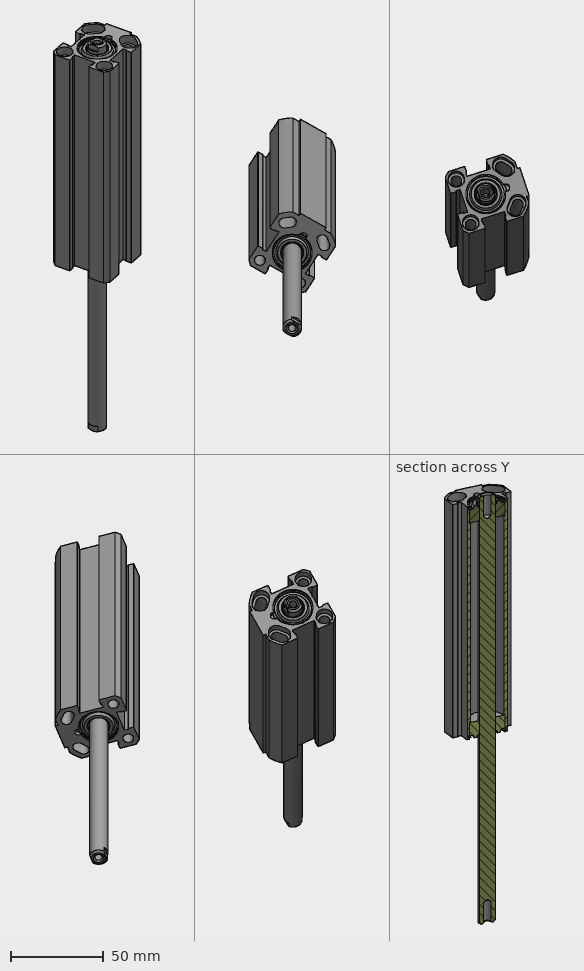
import cadquery as cq
import math

ROD_LENGTH = 253.0
HOUSING_BOTTOM = 110.8
HOUSING_TOP = 248.7
HOUSING_LENGTH = HOUSING_TOP - HOUSING_BOTTOM
HOUSING_MIDDLE = (HOUSING_TOP + HOUSING_BOTTOM) / 2

HALF_WIDTH = 18.0
SHOULDER_Y = 20.5
RIDGE_Y = 22.0
RIDGE_HALF_WIDTH = 8.0
CORNER_RADIUS = 23.8
LOWER_BEVEL = 2.5

GROOVE_FLOOR = 12.5
GROOVE_LIP = 14.7
GROOVE_MOUTH_WIDTH = 12.1
GROOVE_INNER_WIDTH = 13.2
LIP_BEVEL = 0.3
GROOVE_ANGLES = (0, 180, 270)

MOUNT_OFFSET = 12.6
MOUNT_DIAMETER = 5.8
MOUNT_SINK_DIAMETER = 8.9
MOUNT_SINK_DEPTH = 5.0
SLOT_END_X = 9.9
SLOT_END_Y = 15.0

BORE_DIAMETER = 20.0
RECESS_DIAMETER = 21.5
RING_GROOVE_DIAMETER = 22.8
RING_TOP_DEPTH = 1.0
RING_THICKNESS = 1.0
RECESS_DEPTH = 10.0
NOTCH_DIAMETER = 4.0
NOTCH_Y = 11.5
NOTCH_DEPTH = 2.5

ROD_DIAMETER = 10.0
ROD_CHAMFER = 1.3
ROD_CHAMFER_LENGTH = 1.0
FLAT_WIDTH = 8.0
FLAT_LENGTH_BOTTOM = 4.3
FLAT_LENGTH_TOP = 3.5
TAP_DIAMETER = 4.0
TAP_MOUTH_DIAMETER = 5.8
TAP_DEPTH = 12.6
TAP_TIP_ANGLE = 118

COLLAR_TOP_DIAMETER = 15.7
COLLAR_BASE_DIAMETER = 17.5
COLLAR_HEIGHT = 1.8
CAP_MOUTH_DIAMETER = 12.5
MOUTH_DEPTH = 0.8
LIP_DIAMETER = 11.5
LIP_DEPTH = 0.8


def cylinder(diameter, bottom, top):
    return cq.Workplane("XY").workplane(offset=bottom).circle(diameter / 2).extrude(top - bottom)


def at_both_ends(shape):
    """Return a shape at the top end and its mirror image at the bottom end."""
    return shape, shape.mirror("XY", (0, 0, HOUSING_MIDDLE))


def housing_block():
    """Return the plain housing with bevelled lower corners and arc-shaped upper corners."""
    corner_y = math.sqrt(CORNER_RADIUS**2 - HALF_WIDTH**2)
    corner_x = math.sqrt(CORNER_RADIUS**2 - SHOULDER_Y**2)
    middle_angle = (math.atan2(corner_y, HALF_WIDTH) + math.atan2(SHOULDER_Y, corner_x)) / 2
    arc_x = CORNER_RADIUS * math.cos(middle_angle)
    arc_y = CORNER_RADIUS * math.sin(middle_angle)
    bevel_end = HALF_WIDTH - LOWER_BEVEL
    return (
        cq.Workplane("XY").workplane(offset=HOUSING_BOTTOM)
        .moveTo(-bevel_end, -HALF_WIDTH)
        .lineTo(bevel_end, -HALF_WIDTH)
        .lineTo(HALF_WIDTH, -bevel_end)
        .lineTo(HALF_WIDTH, corner_y)
        .threePointArc((arc_x, arc_y), (corner_x, SHOULDER_Y))
        .lineTo(RIDGE_HALF_WIDTH, SHOULDER_Y)
        .lineTo(RIDGE_HALF_WIDTH, RIDGE_Y)
        .lineTo(-RIDGE_HALF_WIDTH, RIDGE_Y)
        .lineTo(-RIDGE_HALF_WIDTH, SHOULDER_Y)
        .lineTo(-corner_x, SHOULDER_Y)
        .threePointArc((-arc_x, arc_y), (-HALF_WIDTH, corner_y))
        .lineTo(-HALF_WIDTH, -bevel_end)
        .close()
        .extrude(HOUSING_LENGTH)
    )


def side_groove():
    half_mouth = GROOVE_MOUTH_WIDTH / 2
    half_inner = GROOVE_INNER_WIDTH / 2
    return (
        cq.Workplane("XY").workplane(offset=HOUSING_BOTTOM)
        .moveTo(GROOVE_FLOOR, -half_inner)
        .lineTo(GROOVE_LIP, -half_inner)
        .lineTo(GROOVE_LIP, -half_mouth)
        .lineTo(HALF_WIDTH - LIP_BEVEL, -half_mouth)
        .lineTo(HALF_WIDTH, -half_mouth - LIP_BEVEL)
        .lineTo(HALF_WIDTH, half_mouth + LIP_BEVEL)
        .lineTo(HALF_WIDTH - LIP_BEVEL, half_mouth)
        .lineTo(GROOVE_LIP, half_mouth)
        .lineTo(GROOVE_LIP, half_inner)
        .lineTo(GROOVE_FLOOR, half_inner)
        .close()
        .extrude(HOUSING_LENGTH)
    )


def upper_slot(side, diameter, depth):
    """Return the slot cutter next to the ridge; side is -1 or +1 along X."""
    run_x = SLOT_END_X - MOUNT_OFFSET
    run_y = SLOT_END_Y - MOUNT_OFFSET
    angle = math.degrees(math.atan2(run_y, side * run_x))
    centre = (side * (SLOT_END_X + MOUNT_OFFSET) / 2, (SLOT_END_Y + MOUNT_OFFSET) / 2)
    return (
        cq.Workplane("XY").workplane(offset=HOUSING_TOP)
        .center(*centre)
        .slot2D(math.hypot(run_x, run_y) + diameter, diameter, angle)
        .extrude(-depth)
    )


def lower_hole(side, diameter, depth):
    hole = cylinder(diameter, HOUSING_TOP - depth, HOUSING_TOP)
    return hole.translate((side * MOUNT_OFFSET, -MOUNT_OFFSET, 0))


def end_pocket():
    """Return the cap recess, ring groove and removal notch at the top end."""
    ring_top = HOUSING_TOP - RING_TOP_DEPTH
    notch = cylinder(NOTCH_DIAMETER, HOUSING_TOP - NOTCH_DEPTH, HOUSING_TOP).translate((0, NOTCH_Y, 0))
    recess = cylinder(RECESS_DIAMETER, HOUSING_TOP - RECESS_DEPTH, HOUSING_TOP)
    return recess.union(cylinder(RING_GROOVE_DIAMETER, ring_top - RING_THICKNESS, ring_top)).union(notch)


def make_housing():
    body = housing_block()
    for angle in GROOVE_ANGLES:
        body = body.cut(side_groove().rotate((0, 0, 0), (0, 0, 1), angle))
    for make_cutter in (upper_slot, lower_hole):
        for side in (-1, 1):
            body = body.cut(make_cutter(side, MOUNT_DIAMETER, HOUSING_LENGTH))
            body = body.cut(make_cutter(side, MOUNT_SINK_DIAMETER, MOUNT_SINK_DEPTH))
    body = body.cut(cylinder(BORE_DIAMETER, HOUSING_BOTTOM, HOUSING_TOP))
    for pocket in at_both_ends(end_pocket()):
        body = body.cut(pocket)
    return body


def make_cap():
    """Return the top end cap with its collar."""
    top = HOUSING_TOP - RING_TOP_DEPTH - RING_THICKNESS
    collar_top = top + COLLAR_HEIGHT
    mouth_floor = collar_top - MOUTH_DEPTH
    bore_top = mouth_floor - LIP_DEPTH
    return (
        cq.Workplane("XZ")
        .moveTo(ROD_DIAMETER / 2, HOUSING_TOP - RECESS_DEPTH)
        .lineTo(RECESS_DIAMETER / 2, HOUSING_TOP - RECESS_DEPTH)
        .lineTo(RECESS_DIAMETER / 2, top)
        .lineTo(COLLAR_BASE_DIAMETER / 2, top)
        .lineTo(COLLAR_TOP_DIAMETER / 2, collar_top)
        .lineTo(CAP_MOUTH_DIAMETER / 2, collar_top)
        .lineTo(CAP_MOUTH_DIAMETER / 2, mouth_floor)
        .lineTo(LIP_DIAMETER / 2, mouth_floor)
        .lineTo(LIP_DIAMETER / 2, bore_top)
        .lineTo(ROD_DIAMETER / 2, bore_top)
        .close()
        .revolve(360, (0, 0, 0), (0, 1, 0))
    )


def make_ring():
    """Return the retaining ring in the top groove."""
    ring_top = HOUSING_TOP - RING_TOP_DEPTH
    ring = cylinder(RING_GROOVE_DIAMETER, ring_top - RING_THICKNESS, ring_top)
    return ring.cut(cylinder(BORE_DIAMETER, ring_top - RING_THICKNESS, ring_top))


def tapped_hole():
    """Return the cutter for the tapped hole at the top of the rod."""
    radius = TAP_DIAMETER / 2
    mouth_radius = TAP_MOUTH_DIAMETER / 2
    floor = ROD_LENGTH - TAP_DEPTH
    tip = floor - radius / math.tan(math.radians(TAP_TIP_ANGLE / 2))
    return (
        cq.Workplane("XZ")
        .moveTo(0, tip)
        .lineTo(radius, floor)
        .lineTo(radius, ROD_LENGTH - (mouth_radius - radius))
        .lineTo(mouth_radius, ROD_LENGTH)
        .lineTo(0, ROD_LENGTH)
        .close()
        .revolve(360, (0, 0, 0), (0, 1, 0))
    )


def rod_flats(bottom, top):
    """Return the pair of cutters that leave two flats facing -Y and +Y."""
    blank = cq.Workplane("XY").workplane(offset=bottom)
    outside = blank.rect(2 * ROD_DIAMETER, 2 * ROD_DIAMETER).extrude(top - bottom)
    return outside.cut(blank.rect(2 * ROD_DIAMETER, FLAT_WIDTH).extrude(top - bottom))


def rod_blank():
    """Return the plain rod with a tapered lead-in at each end."""
    radius = ROD_DIAMETER / 2
    return (
        cq.Workplane("XZ")
        .lineTo(radius - ROD_CHAMFER, 0)
        .lineTo(radius, ROD_CHAMFER_LENGTH)
        .lineTo(radius, ROD_LENGTH - ROD_CHAMFER_LENGTH)
        .lineTo(radius - ROD_CHAMFER, ROD_LENGTH)
        .lineTo(0, ROD_LENGTH)
        .close()
        .revolve(360, (0, 0, 0), (0, 1, 0))
    )


def make_rod():
    rod = rod_blank()
    rod = rod.cut(rod_flats(0, FLAT_LENGTH_BOTTOM))
    rod = rod.cut(rod_flats(ROD_LENGTH - FLAT_LENGTH_TOP, ROD_LENGTH))
    hole = tapped_hole()
    rod = rod.cut(hole)
    return rod.cut(hole.mirror("XY", (0, 0, ROD_LENGTH / 2)))


housing = make_housing()
rod = make_rod()
caps = at_both_ends(make_cap())
rings = at_both_ends(make_ring())

result = cq.Compound.makeCompound(
    [housing.val(), rod.val()] + [cap.val() for cap in caps] + [ring.val() for ring in rings]
)